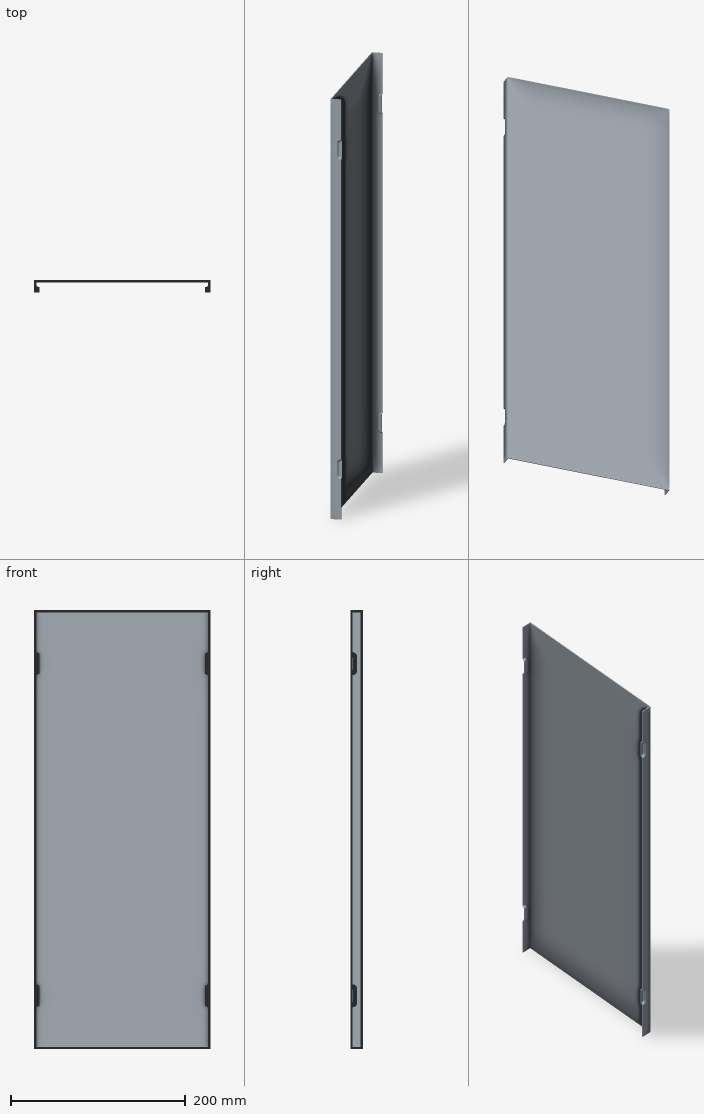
import cadquery as cq

width = 200.0
depth = 12.5
height = 500.0
sheet = 1.0
bend_radius = 0.25

indent_depth = 3.0
mouth_length = 23.0
mouth_reach = 5.0
mouth_radius = 4.5
floor_length = 19.0
floor_reach = 3.0
floor_radius = 2.0
indent_heights = (60.0, 440.0)

free_edge = -depth / 2
outer_face = -width / 2


def make_channel():
    """Web and flanges, centred on X and Y and standing on Z = 0."""
    block = cq.Workplane("XY").box(width, depth, height, centered=(True, True, False))
    block = block.edges("|Z and >Y").fillet(bend_radius)
    inside = (
        cq.Workplane("XY")
        .box(width - 2 * sheet, depth, height, centered=(True, True, False))
        .translate((0, -sheet, 0))
    )
    return block.cut(inside)


def rounded_outline(reach, length, radius):
    """Rounded rectangle centred on the free edge, extending reach to either side."""
    return cq.Sketch().rect(2 * reach, length).vertices().fillet(radius)


def tapered_form(center_z, wall):
    """Tapered form on the left flange, enlarged by wall and trimmed at the free edge."""
    mouth = rounded_outline(mouth_reach + wall, mouth_length + 2 * wall, mouth_radius + wall)
    floor = rounded_outline(floor_reach + wall, floor_length + 2 * wall, floor_radius + wall)
    floor = floor.moved(cq.Location(cq.Vector(0, 0, indent_depth + wall)))
    form = (
        cq.Workplane("YZ", origin=(outer_face, free_edge, center_z))
        .placeSketch(mouth, floor)
        .loft()
    )
    keep = cq.Workplane("XY").box(width, depth, height, centered=(True, True, False))
    return form.intersect(keep)


result = make_channel()
for indent_z in indent_heights:
    shell = tapered_form(indent_z, sheet)
    hollow = tapered_form(indent_z, 0)
    result = result.union(shell).union(shell.mirror("YZ"))
    result = result.cut(hollow).cut(hollow.mirror("YZ"))